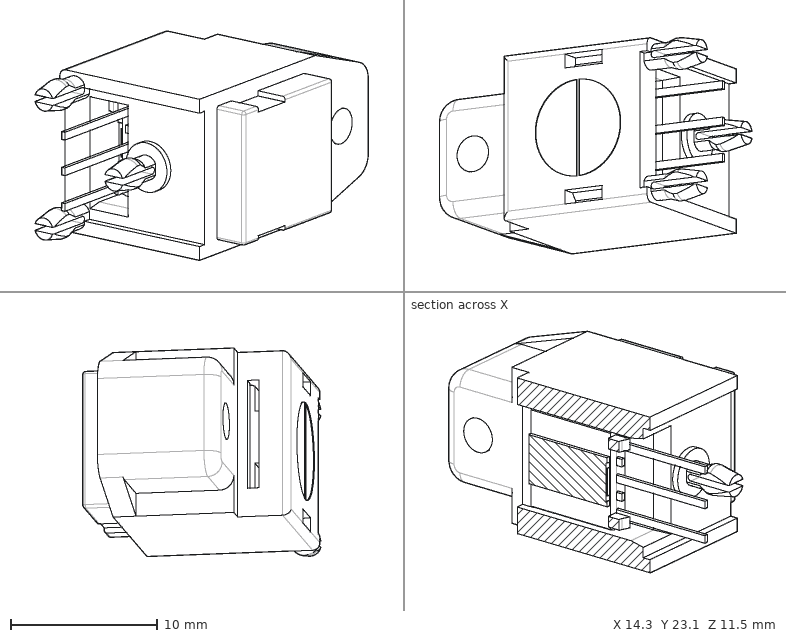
import cadquery as cq
import math

block_length = 12.01
height = 11.5
half_height = height / 2
plate_front = 4.07
recess_depth = 0.58
recess_face = plate_front + recess_depth
plate_thickness = 1.0
block_rear = 15.62
edge_radius = 0.5

ear_left = 3.63
ear_shoulder = 17.1
ear_rear = 23.1
ear_half_width = 4.15
ear_corner_radius = 1.5
ear_edge_radius = 1.0
ear_hole_diameter = 2.5
ear_hole_y = 20.03
gusset_thickness = 1.6

coupling_right = 14.35
coupling_front = 6.03
coupling_rear = 16.03
coupling_half_height = 4.78
coupling_edge_radius = 0.2
notch_front = 7.65
notch_length = 3.0
notch_depth = 0.37

pin_radius = 0.88
pin_barb_radius = 1.09
pin_tip_radius = 0.79
pin_flat_half_width = 0.79
pin_tip = 0.5
corner_pin_tip_to_barb = 1.5
middle_pin_tip_to_barb = 1.65
pin_barb_length = 0.35
pin_shank_end = 3.03
pin_slot_width = 0.49
pin_slot_end = 4.07
corner_pin_x = 1.35
corner_pin_z = 4.6
middle_pin_x = 7.35
disc_diameter = 3.5
disc_height = 0.45

wall_thickness = 2.15
cavity_right = 4.83
cavity_half_height = 3.77
cavity_rear = 14.62
rear_opening_right = 2.95
mouth_depth = 1.06
mouth_right = 5.43
mouth_half_height = 4.0

window_front = 7.65
window_length = 2.93
window_inner = 4.27
window_ridge = 4.75
window_outer = 5.25
window_straight_depth = 1.02
window_depth = 1.43
label_radius = 3.37
label_y = 9.56
label_gap = 0.2
label_depth = 0.07

receiver_front = 7.7
receiver_left = 2.6
receiver_step = 3.25
receiver_half_height = 3.67
receiver_corner_width = 0.32
receiver_corner_height = 0.12
receiver_slope_depth = 0.5
pad_front = receiver_front + 0.12
pad_half_height = 1.82
pad_ramp_half_height = 1.4
pad_ramp_depth = 0.15
pad_strip_half_height = 1.02
pad_strip_width = 0.2
lead_tip = 0.0
lead_thickness = 0.28
lead_width = 0.55
lead_pitch = 1.27
lead_positions = (-2, 0, 2)
stub_positions = (-1, 1)
stub_length = 0.46

rib_inner = 2.47
rib_width = 0.8
rib_height = 1.05
rib_front = 6.47
rib_wall_setback = 0.35
rib_bend_setback = 0.23


def box(x0, x1, y0, y1, z0, z1):
    """Box between two opposite corners."""
    return cq.Workplane("XY").box(x1 - x0, y1 - y0, z1 - z0, centered=False).translate((x0, y0, z0))


def prism_along_x(points, x0, x1):
    """Prism from (y, z) points, spanning x0 to x1."""
    return cq.Workplane("YZ").workplane(offset=x0).polyline(points).close().extrude(x1 - x0)


def prism_along_z(points, z0, z1):
    """Prism from (x, y) points, spanning z0 to z1."""
    return cq.Workplane("XY").workplane(offset=z0).polyline(points).close().extrude(z1 - z0)


def make_block():
    """Main block, set back at the front between the two side plates."""
    block = box(0, block_length, plate_front, block_rear, -half_height, half_height)
    block = block.faces("<X").edges("|Y or >Y").fillet(edge_radius)
    inner = half_height - plate_thickness
    recess = box(0, block_length, plate_front, recess_face, -inner, inner)
    shoulder = box(ear_left, block_length, block_rear, ear_shoulder, -half_height, half_height)
    return block.cut(recess).union(shoulder)


def make_ear():
    """Ear with rounded corners and rounded edges on its -X face."""
    ear = box(ear_left, block_length, block_rear, ear_rear, -ear_half_width, ear_half_width)
    ear = ear.edges("|X and >Y").fillet(ear_corner_radius)
    return ear.faces("<X").edges("not <Y").fillet(ear_edge_radius)


def make_gusset():
    """Sloped plate that meets the ear corners tangentially."""
    center_y = ear_rear - ear_corner_radius
    center_z = ear_half_width - ear_corner_radius
    dy = center_y - ear_shoulder
    dz = half_height - center_z
    slope = math.atan2(dz, dy) - math.asin(ear_corner_radius / math.hypot(dy, dz))
    tangent_y = center_y + ear_corner_radius * math.sin(slope)
    tangent_z = center_z + ear_corner_radius * math.cos(slope)
    outline = [(ear_shoulder, -half_height), (ear_shoulder, half_height),
               (tangent_y, tangent_z), (tangent_y, -tangent_z)]
    return prism_along_x(outline, block_length - gusset_thickness, block_length)


def make_coupling():
    """Coupling block with rounded edges and a notch across its top and bottom."""
    coupling = box(block_length, coupling_right, coupling_front, coupling_rear,
                   -coupling_half_height, coupling_half_height)
    coupling = coupling.edges("|X or >X").fillet(coupling_edge_radius)
    notch_floor = coupling_half_height - notch_depth
    for z0, z1 in ((notch_floor, half_height), (-half_height, -notch_floor)):
        coupling = coupling.cut(box(block_length, coupling_right, notch_front,
                                    notch_front + notch_length, z0, z1))
    return coupling


def make_pin(x, z, root, tip_to_barb):
    """Barbed pin along Y with two flats and a round-ended slot, rooted at y = root."""
    barb_front = pin_tip + tip_to_barb
    profile = [(0, pin_tip), (pin_tip_radius, pin_tip), (pin_barb_radius, barb_front),
               (pin_barb_radius, barb_front + pin_barb_length), (pin_radius, pin_shank_end),
               (pin_radius, root), (0, root)]
    pin = cq.Workplane("XY").polyline(profile).close().revolve(360, (0, 0, 0), (0, 1, 0))
    pin = pin.intersect(box(-pin_flat_half_width, pin_flat_half_width, pin_tip, root,
                            -pin_barb_radius, pin_barb_radius))
    slot_radius = pin_slot_width / 2
    slot = (cq.Workplane("YZ").moveTo(pin_tip, -slot_radius)
            .lineTo(pin_slot_end - slot_radius, -slot_radius)
            .threePointArc((pin_slot_end, 0), (pin_slot_end - slot_radius, slot_radius))
            .lineTo(pin_tip, slot_radius).close()
            .extrude(pin_flat_half_width, both=True))
    return pin.cut(slot).translate((x, 0, z))


def make_cavity():
    """Cavity with a flared mouth, open through the rear beside the ear."""
    cavity = box(wall_thickness, cavity_right, recess_face, cavity_rear,
                 -cavity_half_height, cavity_half_height)
    mouth_width = mouth_right - wall_thickness
    throat_width = cavity_right - wall_thickness
    mouth = (cq.Workplane("XZ").workplane(offset=-recess_face)
             .center(wall_thickness + mouth_width / 2, 0).rect(mouth_width, 2 * mouth_half_height)
             .workplane(offset=-mouth_depth)
             .center((throat_width - mouth_width) / 2, 0).rect(throat_width, 2 * cavity_half_height)
             .loft(ruled=True))
    rear_opening = box(wall_thickness, rear_opening_right, cavity_rear, block_rear,
                       -cavity_half_height, cavity_half_height)
    return cavity.union(mouth).union(rear_opening)


def make_ribs():
    """Two retaining ribs on the cavity wall, with fronts sloped back toward the wall."""
    rib_right = wall_thickness + rib_height
    outline = [(wall_thickness, rib_front + rib_wall_setback), (receiver_left, rib_front + rib_bend_setback),
               (rib_right, rib_front), (rib_right, receiver_front), (wall_thickness, receiver_front)]
    rib = prism_along_z(outline, rib_inner, rib_inner + rib_width)
    return rib.union(rib.mirror("XY"))


def make_windows():
    """Two pockets in the -X face, each with a sloped floor on its inner half."""
    outline = [(0, window_inner), (window_straight_depth, window_inner), (window_depth, window_ridge),
               (window_depth, window_outer), (0, window_outer)]
    pocket = (cq.Workplane("XZ").workplane(offset=-window_front).polyline(outline).close()
              .extrude(-window_length))
    return pocket.union(pocket.mirror("XY"))


def make_label_recess():
    """Shallow disc split by a narrow bar."""
    disc = cq.Workplane("YZ").center(label_y, 0).circle(label_radius).extrude(label_depth)
    bar = box(0, label_depth, label_y - label_gap / 2, label_y + label_gap / 2,
              -label_radius, label_radius)
    return disc.cut(bar)


def make_housing():
    """Complete housing as one solid."""
    housing = make_block().union(make_ear()).union(make_gusset()).union(make_coupling())
    ear_hole = (cq.Workplane("YZ").workplane(offset=ear_left).center(ear_hole_y, 0)
                .circle(ear_hole_diameter / 2).extrude(block_length - ear_left))
    housing = housing.cut(ear_hole).cut(make_cavity()).union(make_ribs())
    housing = housing.cut(make_windows()).cut(make_label_recess())
    for side in (-1, 1):
        corner_pin = make_pin(corner_pin_x, side * corner_pin_z, recess_face, corner_pin_tip_to_barb)
        housing = housing.union(corner_pin)
    disc = (cq.Workplane("XZ").workplane(offset=-recess_face).center(middle_pin_x, 0)
            .circle(disc_diameter / 2).extrude(disc_height))
    middle_pin = make_pin(middle_pin_x, 0, recess_face, middle_pin_tip_to_barb)
    return housing.union(disc.union(middle_pin))


def make_receiver_pad():
    """Pad between receiver and cavity wall, with a ramp and a narrow strip at its front."""
    pad = box(wall_thickness, receiver_left, pad_front, cavity_rear,
              -pad_half_height, pad_half_height)
    ramp = [(wall_thickness, pad_front), (receiver_left, pad_front),
            (wall_thickness, pad_front + pad_ramp_depth)]
    strip = box(receiver_left - pad_strip_width, receiver_left, pad_front,
                pad_front + pad_ramp_depth, -pad_strip_half_height, pad_strip_half_height)
    return pad.cut(prism_along_z(ramp, -pad_ramp_half_height, pad_ramp_half_height)).union(strip)


def make_receiver():
    """Receiver block with three long leads and two short stubs, as one solid."""
    outline = [(receiver_left, receiver_front), (receiver_step, receiver_front),
               (cavity_right, receiver_front + receiver_slope_depth), (cavity_right, cavity_rear),
               (receiver_left, cavity_rear)]
    receiver = prism_along_z(outline, -receiver_half_height, receiver_half_height)
    corner_left = receiver_left + receiver_corner_width
    corner_inner = receiver_half_height - receiver_corner_height
    corner = (cq.Workplane("XZ").workplane(offset=-receiver_front)
              .polyline([(receiver_left, receiver_half_height), (corner_left, receiver_half_height),
                         (receiver_left, corner_inner)])
              .close().extrude(receiver_front - cavity_rear))
    receiver = receiver.cut(corner).cut(corner.mirror("XY"))
    receiver = receiver.union(make_receiver_pad())
    lead_root = receiver_front + receiver_slope_depth
    stub_tip = receiver_front - stub_length
    for positions, tip in ((lead_positions, lead_tip), (stub_positions, stub_tip)):
        for position in positions:
            z = position * lead_pitch
            receiver = receiver.union(box(receiver_step, receiver_step + lead_thickness, tip, lead_root,
                                          z - lead_width / 2, z + lead_width / 2))
    return receiver


housing = make_housing()
receiver = make_receiver()

result = cq.Compound.makeCompound([*housing.solids().vals(), *receiver.solids().vals()])